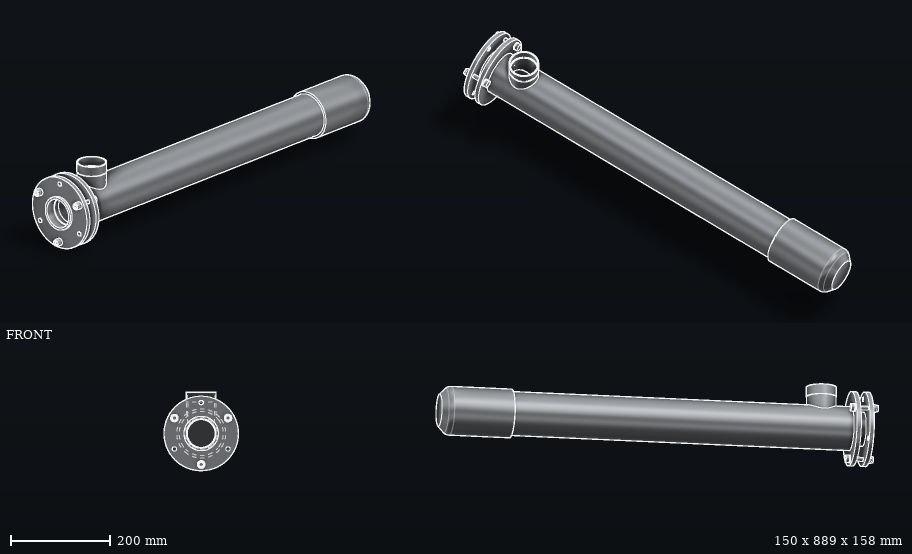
import cadquery as cq
import math

TOTAL_LENGTH = 889.0
OVERALL_HEIGHT = 158.0

TUBE_DIAMETER = 89.0
BORE_DIAMETER = 56.0
TUBE_END_Y = 866.0

FLANGE_DIAMETER = 150.0
FLANGE_THICKNESS = 9.0
INLET_FLANGE_Y = 12.0
HOUSING_FLANGE_Y = 38.0

INLET_DIAMETER = 69.0
INLET_START_Y = 6.0
INLET_MOUTH_DIAMETER = 60.0
INLET_MOUTH_DEPTH = 20.5

OUTLET_Y = 106.0
OUTLET_TOP_Z = OVERALL_HEIGHT - FLANGE_DIAMETER / 2
OUTLET_RIM_Z = 63.0
OUTLET_DIAMETER = 60.0
OUTLET_RIM_DIAMETER = 60.5
OUTLET_BORE_DIAMETER = 54.0
OUTLET_MOUTH_DIAMETER = 56.0

CAP_DIAMETER = 99.0
CAP_START_Y = 743.0
CAP_TIP_RADIUS = 33.0
CAP_EDGE_RADIUS = 15.0

BOLT_CIRCLE_RADIUS = 62.0
HOLE_COUNT = 6
HOLE_DIAMETER = 9.0
ROD_DIAMETER = 8.0
HEAD_DIAMETER = 15.0
HEAD_TOP_DIAMETER = 12.5
HEAD_TAPER_LENGTH = 5.0
SOCKET_DIAMETER = 9.0
SOCKET_DEPTH = 4.0
WASHER_DIAMETER = 16.0
WASHER_THICKNESS = 2.0
NUT_DIAMETER = 15.0
NUT_THICKNESS = 7.0


def cylinder_y(diameter, start_y, length, x=0.0, z=0.0):
    """Cylinder along +Y that starts at start_y."""
    start = cq.Workplane("XZ", origin=(x, start_y, z))
    return start.circle(diameter / 2).extrude(-length)


def cylinder_z(diameter, bottom_z, top_z):
    """Upright cylinder on the axis of the side outlet."""
    bottom = cq.Workplane("XY", origin=(0, OUTLET_Y, bottom_z))
    return bottom.circle(diameter / 2).extrude(top_z - bottom_z)


def hole_places(first, step):
    """Centres (x, z) on the bolt circle, counted from the top hole."""
    places = []
    for index in range(first, HOLE_COUNT, step):
        angle = math.radians(90 + index * 360 / HOLE_COUNT)
        places.append((BOLT_CIRCLE_RADIUS * math.cos(angle), BOLT_CIRCLE_RADIUS * math.sin(angle)))
    return places


OPEN_HOLES = hole_places(0, 2)
BOLT_HOLES = hole_places(1, 2)


def make_housing():
    """Tube with the rear flange and the upright side outlet."""
    body = cylinder_y(TUBE_DIAMETER, HOUSING_FLANGE_Y, TUBE_END_Y - HOUSING_FLANGE_Y)
    body = body.union(cylinder_y(FLANGE_DIAMETER, HOUSING_FLANGE_Y, FLANGE_THICKNESS))
    body = body.union(cylinder_z(OUTLET_DIAMETER, 0, OUTLET_RIM_Z))
    body = body.union(cylinder_z(OUTLET_RIM_DIAMETER, OUTLET_RIM_Z, OUTLET_TOP_Z))

    body = body.cut(cylinder_y(BORE_DIAMETER, HOUSING_FLANGE_Y, TUBE_END_Y - HOUSING_FLANGE_Y))
    body = body.cut(cylinder_z(OUTLET_BORE_DIAMETER, 0, OUTLET_TOP_Z))
    body = body.cut(cylinder_z(OUTLET_MOUTH_DIAMETER, OUTLET_RIM_Z, OUTLET_TOP_Z))
    for x, z in BOLT_HOLES:
        body = body.cut(cylinder_y(ROD_DIAMETER, HOUSING_FLANGE_Y, FLANGE_THICKNESS, x, z))
    return body


def make_bolt(x, z):
    """Socket-head bolt with its head on the front flange and a washer and nut behind the rear flange."""
    edge_width = (HEAD_DIAMETER - HEAD_TOP_DIAMETER) / 2
    head = cylinder_y(HEAD_DIAMETER, 0, INLET_FLANGE_Y, x, z)
    head = head.faces("<Y").chamfer(HEAD_TAPER_LENGTH, edge_width)
    head = head.cut(cylinder_y(SOCKET_DIAMETER, 0, SOCKET_DEPTH, x, z))

    washer_y = HOUSING_FLANGE_Y + FLANGE_THICKNESS
    nut_y = washer_y + WASHER_THICKNESS
    rod = cylinder_y(ROD_DIAMETER, INLET_FLANGE_Y, nut_y - INLET_FLANGE_Y, x, z)
    washer = cylinder_y(WASHER_DIAMETER, washer_y, WASHER_THICKNESS, x, z)
    nut = cylinder_y(NUT_DIAMETER, nut_y, NUT_THICKNESS, x, z)
    return head.union(rod).union(washer).union(nut)


def make_inlet():
    """Inlet pipe with the front flange and the bolts that hold it."""
    length = HOUSING_FLANGE_Y - INLET_START_Y
    body = cylinder_y(INLET_DIAMETER, INLET_START_Y, length)
    body = body.union(cylinder_y(FLANGE_DIAMETER, INLET_FLANGE_Y, FLANGE_THICKNESS))
    body = body.cut(cylinder_y(BORE_DIAMETER, INLET_START_Y, length))
    body = body.cut(cylinder_y(INLET_MOUTH_DIAMETER, INLET_START_Y, INLET_MOUTH_DEPTH))
    for x, z in OPEN_HOLES:
        body = body.cut(cylinder_y(HOLE_DIAMETER, INLET_FLANGE_Y, FLANGE_THICKNESS, x, z))
    for x, z in BOLT_HOLES:
        body = body.union(make_bolt(x, z))
    return body


def make_cap():
    """Closed sleeve over the far tube end, with a rounded 45 degree cone at its tip."""
    radius = CAP_DIAMETER / 2
    turn = math.radians(45)
    drop = CAP_EDGE_RADIUS * (1 - math.cos(turn))
    cone_radius = radius - drop
    cone_y = TOTAL_LENGTH - (cone_radius - CAP_TIP_RADIUS)
    round_y = cone_y - CAP_EDGE_RADIUS * math.sin(turn)
    middle = turn / 2
    arc_middle = (
        radius - CAP_EDGE_RADIUS * (1 - math.cos(middle)),
        round_y + CAP_EDGE_RADIUS * math.sin(middle),
    )
    profile = (
        cq.Workplane("XY")
        .moveTo(0, CAP_START_Y)
        .lineTo(radius, CAP_START_Y)
        .lineTo(radius, round_y)
        .threePointArc(arc_middle, (cone_radius, cone_y))
        .lineTo(CAP_TIP_RADIUS, TOTAL_LENGTH)
        .lineTo(0, TOTAL_LENGTH)
        .close()
    )
    solid = profile.revolve(360, (0, 0), (0, 1))
    return solid.cut(cylinder_y(TUBE_DIAMETER, CAP_START_Y, TUBE_END_Y - CAP_START_Y))


housing = make_housing()
inlet = make_inlet()
cap = make_cap()

result = cq.Compound.makeCompound([housing.val(), inlet.val(), cap.val()])